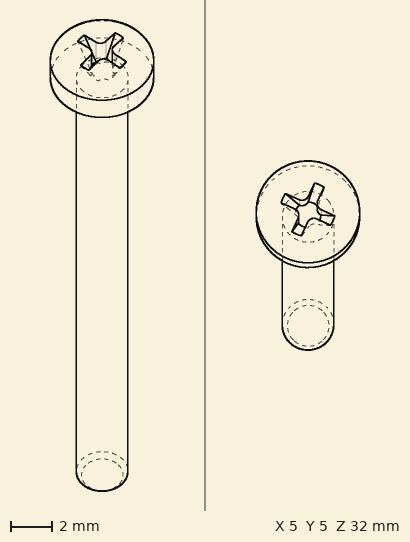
import cadquery as cq

HEAD_DIAMETER = 5.0
HEAD_HEIGHT = 2.0
HEAD_RIM_HEIGHT = 1.3
CROWN_INNER_POLE_RADIUS = 1.4
CROWN_OUTER_POLE_RADIUS = 2.2

SHANK_DIAMETER = 2.5
SHANK_LENGTH = 30.0
TIP_CHAMFER = 0.25

RECESS_DEPTH = 1.5
RECESS_CORNER_RADIUS = 0.34
ARM_WIDTH = 0.5
ARM_SPAN_TOP = 2.7
ARM_SPAN_BOTTOM = 1.25


def make_screw_body():
    """Head and shank, revolved from a half profile in the XZ plane."""
    head_radius = HEAD_DIAMETER / 2
    shank_radius = SHANK_DIAMETER / 2
    crown_poles = [
        (0, HEAD_HEIGHT),
        (CROWN_INNER_POLE_RADIUS, HEAD_HEIGHT),
        (CROWN_OUTER_POLE_RADIUS, HEAD_HEIGHT),
        (head_radius, HEAD_RIM_HEIGHT),
    ]
    profile = (
        cq.Workplane("XZ")
        .moveTo(0, HEAD_HEIGHT)
        .bezier(crown_poles)
        .lineTo(head_radius, 0)
        .lineTo(shank_radius, 0)
        .lineTo(shank_radius, TIP_CHAMFER - SHANK_LENGTH)
        .lineTo(shank_radius - TIP_CHAMFER, -SHANK_LENGTH)
        .lineTo(0, -SHANK_LENGTH)
        .close()
    )
    return profile.revolve(360, (0, 0, 0), (0, 1, 0))


def make_cross_recess():
    """An upright cross with rounded inner corners, trimmed by a cone that narrows downward."""
    cross = (
        cq.Workplane("XY")
        .workplane(offset=HEAD_HEIGHT - RECESS_DEPTH)
        .rect(ARM_SPAN_TOP, ARM_WIDTH)
        .extrude(RECESS_DEPTH)
    )
    cross = cross.union(cross.rotate((0, 0, 0), (0, 0, 1), 90))
    inner_corners = cq.selectors.BoxSelector(
        (-ARM_WIDTH, -ARM_WIDTH, 0),
        (ARM_WIDTH, ARM_WIDTH, HEAD_HEIGHT),
    )
    cross = cross.edges("|Z").edges(inner_corners).fillet(RECESS_CORNER_RADIUS)
    cone = (
        cq.Workplane("XY")
        .workplane(offset=HEAD_HEIGHT - RECESS_DEPTH)
        .circle(ARM_SPAN_BOTTOM / 2)
        .workplane(offset=RECESS_DEPTH)
        .circle(ARM_SPAN_TOP / 2)
        .loft(ruled=True)
    )
    return cross.intersect(cone)


result = make_screw_body().cut(make_cross_recess())